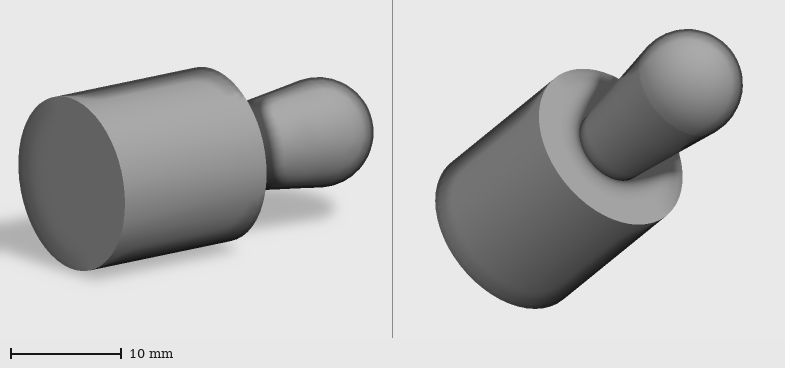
import cadquery as cq
import math

total_length = 32.85
housing_diameter = 16.0
housing_length = 16.0
shank_radius = 3.5
ball_radius = 5.0

ball_center = total_length - ball_radius
cone_reach = ball_center - housing_length
taper_angle = (
    math.asin(ball_radius / math.hypot(shank_radius, cone_reach))
    - math.atan2(shank_radius, cone_reach)
)
tangent_radius = ball_radius * math.cos(taper_angle)
tangent_y = ball_center - ball_radius * math.sin(taper_angle)


def make_housing():
    """Cylinder with a through bore that holds the pin's shank."""
    front = cq.Workplane("XZ")
    body = front.circle(housing_diameter / 2).circle(shank_radius)
    return body.extrude(-housing_length)


def make_pin():
    """Straight shank, widening cone and ball end, revolved about Y."""
    profile = (
        cq.Workplane("XY")
        .lineTo(shank_radius, 0)
        .lineTo(shank_radius, housing_length)
        .lineTo(tangent_radius, tangent_y)
    )
    ball_mid_angle = math.radians(45)
    profile = profile.threePointArc(
        (ball_radius * math.cos(ball_mid_angle), ball_center + ball_radius * math.sin(ball_mid_angle)),
        (0, total_length),
    )
    return profile.close().revolve(360, (0, 0), (0, 1))


housing = make_housing()
pin = make_pin()

result = cq.Compound.makeCompound([housing.val(), pin.val()])